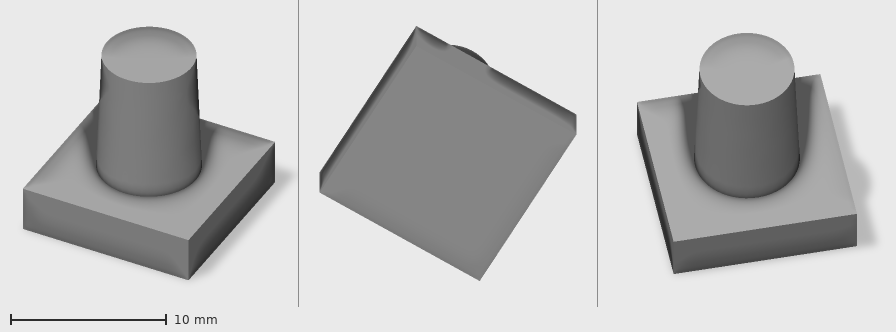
import cadquery as cq

base_side = 12.0
base_height = 3.2
total_height = 12.0
post_bottom_diameter = 6.8
post_top_diameter = 6.1

post_height = total_height - base_height


def make_base():
    """Square block resting on the XY plane, centred on the Z axis."""
    return cq.Workplane("XY").box(base_side, base_side, base_height, centered=(True, True, False))


def make_post():
    """Round post standing on the base, narrowing evenly towards its flat top."""
    return (
        cq.Workplane("XY", origin=(0, 0, base_height))
        .circle(post_bottom_diameter / 2)
        .workplane(offset=post_height)
        .circle(post_top_diameter / 2)
        .loft(ruled=True)
    )


base = make_base()
post = make_post()

result = cq.Compound.makeCompound([base.val(), post.val()])